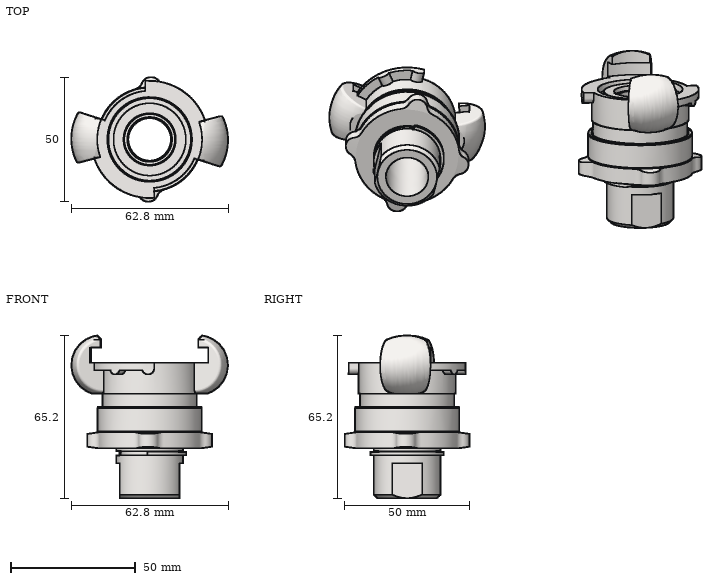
import cadquery as cq
import math

spigot_chamfer = 1.5
flat_top_z = 14.0
clip_bottom_z = 17.2
clip_top_z = 18.6
groove_top_z = 18.9
nut_bottom_z = 20.0
nut_top_z = 26.5
sleeve_top_z = 36.6
head_bottom_z = 41.95
flange_bottom_z = 51.4
head_top_z = 54.4
lip_bottom_z = 60.35
claw_tip_z = 65.24

spigot_d = 26.8
groove_d = 23.0
sleeve_d = 41.9
sleeve_mouth_d = 39.0
sleeve_mouth_depth = 1.0
neck_d = 37.9
head_d = 39.0
flange_d = 47.0
sleeve_chamfer_r = 0.2
sleeve_chamfer_h = 0.45
flats_width = 24.0

recess_top_d = 34.0
recess_floor_d = 33.0
recess_floor_z = 51.8
seal_d = 29.0
seal_top_z = 53.5
counterbore_top_d = 21.0
counterbore_floor_d = 20.3
counterbore_floor_z = 51.7
bore_top_d = 18.0
bore_end_d = 17.0

clip_d = 29.5
clip_gap_half_angle = 77.5
clip_gap_apex_r = 4.15
clip_gap_direction = 208.0
clip_corner_r = 0.6

turn_angle = -1.5
lobe_count = 4
lobe_tip_r = 25.0
lobe_r = 4.0
lobe_root_r = 4.0
nut_bevel_start_r = 20.5
nut_bevel_angle = 8.3

flange_end_x = 1.83
bump_r = 2.45
bump_z = head_bottom_z + 10.15
second_bump_angle = 233.5

claw_outer_r = 31.425
claw_curve_r = 12.0
claw_crown_r = 21.0
claw_tip_arch_r = 18.5
claw_root_x = 18.0
claw_half_angle = 16.5
claw_half_width = 7.6
claw_width_r = 19.6
claw_edge_fillet = 1.0
lip_inner_r = 21.0
claw_wall_r = 25.25


def disc(diameter, z_bottom, z_top):
    return cq.Workplane("XY").workplane(offset=z_bottom).circle(diameter / 2).extrude(z_top - z_bottom)


def cone(bottom_d, top_d, z_bottom, z_top):
    profile = [(0, z_bottom), (bottom_d / 2, z_bottom), (top_d / 2, z_top), (0, z_top)]
    return cq.Workplane("XZ").polyline(profile).close().revolve(360, (0, 0, 0), (0, 1, 0))


def about_z(solid, angle):
    return solid.rotate((0, 0, 0), (0, 0, 1), angle)


def polar(radius, angle):
    return (radius * math.cos(math.radians(angle)), radius * math.sin(math.radians(angle)))


def make_spigot():
    """Chamfered spigot with a clip groove and two wrench flats."""
    spigot = disc(spigot_d, 0, nut_bottom_z).faces("<Z").chamfer(spigot_chamfer)
    groove = disc(spigot_d, clip_bottom_z, groove_top_z).cut(disc(groove_d, clip_bottom_z, groove_top_z))
    across_flats = cq.Workplane("XY").box(flats_width, spigot_d, flat_top_z, centered=(True, True, False))
    outside_flats = disc(spigot_d, 0, flat_top_z).cut(across_flats)
    return spigot.cut(groove).cut(outside_flats)


def make_clip():
    """Open retaining ring sitting on the lower wall of the groove."""
    ring = disc(clip_d, clip_bottom_z, clip_top_z).cut(disc(groove_d, clip_bottom_z, clip_top_z))
    far_x, far_y = polar(4 * clip_d, clip_gap_half_angle)
    gap = (
        cq.Workplane("XY").workplane(offset=clip_bottom_z)
        .polyline([(0, 0), (far_x, -far_y), (far_x, far_y)]).close()
        .extrude(clip_top_z - clip_bottom_z)
        .translate((clip_gap_apex_r, 0, 0))
    )
    clip = ring.cut(gap).edges("|Z").edges(">X").fillet(clip_corner_r)
    return about_z(clip, clip_gap_direction)


def make_lobe():
    """One rounded nut lobe on the +X axis, blended into the rim by two concave arcs."""
    rim_r = sleeve_d / 2
    lobe_x = lobe_tip_r - lobe_r
    root_center_r = rim_r + lobe_root_r
    center_gap = lobe_r + lobe_root_r
    cos_root = (root_center_r**2 + lobe_x**2 - center_gap**2) / (2 * root_center_r * lobe_x)
    root_angle = math.degrees(math.acos(cos_root))
    root_x, root_y = polar(root_center_r, root_angle)
    rim_x, rim_y = polar(rim_r, root_angle)
    share = lobe_r / center_gap
    tangent_x = lobe_x + share * (root_x - lobe_x)
    tangent_y = share * root_y
    chord_x = (rim_x + tangent_x) / 2 - root_x
    chord_y = (rim_y + tangent_y) / 2 - root_y
    reach = lobe_root_r / math.hypot(chord_x, chord_y)
    mid_x = root_x + reach * chord_x
    mid_y = root_y + reach * chord_y
    return (
        cq.Workplane("XY").workplane(offset=nut_bottom_z)
        .moveTo(0, 0)
        .lineTo(rim_x, -rim_y)
        .threePointArc((mid_x, -mid_y), (tangent_x, -tangent_y))
        .threePointArc((lobe_tip_r, 0), (tangent_x, tangent_y))
        .threePointArc((mid_x, mid_y), (rim_x, rim_y))
        .close()
        .extrude(nut_top_z - nut_bottom_z)
    )


def make_nut():
    """Lobed lock nut whose end faces are bevelled toward the lobe tips."""
    nut = disc(sleeve_d, nut_bottom_z, nut_top_z)
    lobe = make_lobe()
    for index in range(lobe_count):
        nut = nut.union(about_z(lobe, turn_angle + index * 360 / lobe_count))
    envelope_r = lobe_tip_r + 1
    drop = (envelope_r - nut_bevel_start_r) * math.tan(math.radians(nut_bevel_angle))
    envelope_profile = [
        (0, nut_bottom_z),
        (nut_bevel_start_r, nut_bottom_z),
        (envelope_r, nut_bottom_z + drop),
        (envelope_r, nut_top_z - drop),
        (nut_bevel_start_r, nut_top_z),
        (0, nut_top_z),
    ]
    envelope = cq.Workplane("XZ").polyline(envelope_profile).close().revolve(360, (0, 0, 0), (0, 1, 0))
    return nut.intersect(envelope)


def make_sleeve():
    """Sleeve with bevelled rims, opened at the top to leave a narrow gap around the neck."""
    sleeve = disc(sleeve_d, nut_top_z, sleeve_top_z)
    sleeve = sleeve.faces("<Z or >Z").chamfer(sleeve_chamfer_h, sleeve_chamfer_r)
    return sleeve.cut(disc(sleeve_mouth_d, sleeve_top_z - sleeve_mouth_depth, sleeve_top_z))


def make_bump():
    """Round bar lying along -Y under the flange."""
    return cq.Workplane("XZ").center(0, bump_z).circle(bump_r).extrude(flange_d / 2)


def make_half_flange():
    """Quarter of flange on the -X -Y side, rounded off by a stop bump at its end and with a second one."""
    radius = flange_d / 2
    end_bump_x = flange_end_x - bump_r
    quarter = (
        cq.Workplane("XY").workplane(offset=flange_bottom_z)
        .center(end_bump_x - radius, -radius).rect(2 * radius, 2 * radius)
        .extrude(head_top_z - flange_bottom_z)
    )
    end_block = (
        cq.Workplane("XY").workplane(offset=bump_z)
        .center(end_bump_x, -radius / 2).rect(2 * bump_r, radius)
        .extrude(head_top_z - bump_z)
    )
    end_bump = make_bump().translate((end_bump_x, 0, 0))
    side_bump = about_z(make_bump(), second_bump_angle - 270)
    limit = disc(flange_d, head_bottom_z, head_top_z)
    return quarter.union(end_block).union(end_bump).union(side_bump).intersect(limit)


def make_claw():
    """Hooked claw on the +X side: a crowned round back trimmed to a wedge, with a lip."""
    center_r = claw_outer_r - claw_curve_r
    center_z = claw_tip_z - math.sqrt(claw_curve_r**2 - (lip_inner_r - center_r)**2)
    half_length = claw_curve_r
    edge_r = claw_curve_r - claw_crown_r + math.sqrt(claw_crown_r**2 - half_length**2)
    back = (
        cq.Workplane("XY").workplane(offset=center_z)
        .moveTo(center_r, -half_length)
        .lineTo(center_r - edge_r, -half_length)
        .threePointArc((center_r - claw_curve_r, 0), (center_r - edge_r, half_length))
        .lineTo(center_r, half_length)
        .close()
        .revolve(360, (center_r, 0, 0), (center_r, 1, 0))
    )
    slope = math.tan(math.radians(claw_half_angle))
    far_x = claw_outer_r + 1
    inner_y = claw_half_width + (claw_root_x - claw_width_r) * slope
    far_y = claw_half_width + (far_x - claw_width_r) * slope
    wedge = (
        cq.Workplane("XY").workplane(offset=head_bottom_z)
        .polyline([(claw_root_x, -inner_y), (far_x, -far_y), (far_x, far_y), (claw_root_x, inner_y)]).close()
        .extrude(claw_tip_z - head_bottom_z + 1)
    )
    arch = (
        cq.Workplane("YZ").workplane(offset=claw_root_x)
        .center(0, claw_tip_z - claw_tip_arch_r).circle(claw_tip_arch_r).extrude(far_x - claw_root_x)
    )
    claw = back.intersect(wedge).intersect(arch)
    rims = cq.selectors.BoxSelector(
        (claw_root_x + 1, -claw_outer_r, center_z - claw_curve_r / 2),
        (far_x, claw_outer_r, center_z + claw_curve_r / 2),
    )
    claw = claw.edges(rims).fillet(claw_edge_fillet)
    claw = claw.cut(disc(2 * claw_wall_r, head_top_z, lip_bottom_z))
    return claw.cut(disc(2 * lip_inner_r, lip_bottom_z, claw_tip_z + 1))


def cut_interior(body):
    """Tapered front recess around the seal ring, counterbore and tapered through bore."""
    recess = cone(recess_floor_d, recess_top_d, recess_floor_z, head_top_z)
    recess = recess.cut(disc(seal_d, recess_floor_z, seal_top_z))
    counterbore = cone(counterbore_floor_d, counterbore_top_d, counterbore_floor_z, seal_top_z)
    bore = cone(bore_end_d, bore_top_d, 0, counterbore_floor_z)
    return body.cut(recess).cut(counterbore).cut(bore)


body = make_spigot().union(make_clip()).union(make_nut()).union(make_sleeve())
body = body.union(disc(neck_d, nut_top_z, head_bottom_z)).union(disc(head_d, head_bottom_z, head_top_z))
half_flange = make_half_flange()
claw = about_z(make_claw(), turn_angle)
for half_turn in (0, 180):
    body = body.union(about_z(half_flange, half_turn)).union(about_z(claw, half_turn))
result = cut_interior(body)